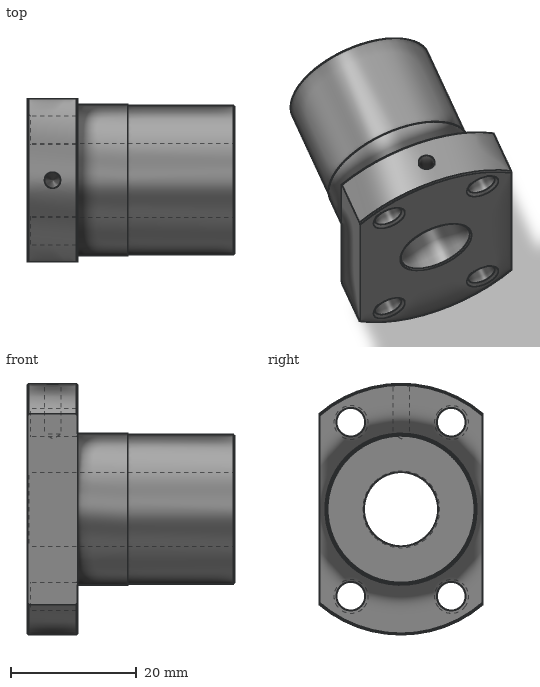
import cadquery as cq
import math

flange_diameter = 40.0
flange_width = 26.0
flange_thickness = 8.0
flange_chamfer = 0.25

total_length = 33.0
collar_diameter = 24.15
collar_length = 8.0
barrel_diameter = 23.85
barrel_chamfer = 0.25

bore_diameter = 11.75
bore_chamfer = 0.25

bolt_circle_diameter = 32.0
bolt_angles = (30, 150, 210, 330)
bolt_hole_diameter = 4.5
bolt_hole_chamfer = 0.45

oil_hole_diameter = 2.55
oil_hole_depth = 8.0
drill_point_angle = 118.0


def cylinder(diameter, length, start_x=0.0):
    """Cylinder along +X, centred on the part axis."""
    return cq.Workplane("YZ", origin=(start_x, 0, 0)).circle(diameter / 2).extrude(length)


def chamfered_hole(diameter, length, chamfer):
    """Hole cutter along +X with a 45 degree chamfer at its X = 0 mouth."""
    radius = diameter / 2
    profile = [
        (0, 0),
        (0, radius + chamfer),
        (chamfer, radius),
        (length, radius),
        (length, 0),
    ]
    return cq.Workplane("XY").polyline(profile).close().revolve(360, (0, 0, 0), (1, 0, 0))


def make_flange():
    disc = cylinder(flange_diameter, flange_thickness).edges().chamfer(flange_chamfer)
    flats = cq.Workplane("XY").box(2 * flange_thickness, flange_width, flange_diameter)
    return disc.intersect(flats)


def make_barrel():
    collar = cylinder(collar_diameter, collar_length, flange_thickness)
    barrel_start = flange_thickness + collar_length
    barrel = cylinder(barrel_diameter, total_length - barrel_start, barrel_start)
    return collar.union(barrel.faces(">X").edges().chamfer(barrel_chamfer))


def make_bolt_holes():
    hole = chamfered_hole(bolt_hole_diameter, flange_thickness, bolt_hole_chamfer)
    holes = cq.Workplane("XY")
    for angle in bolt_angles:
        turn = math.radians(angle)
        y = bolt_circle_diameter / 2 * math.sin(turn)
        z = bolt_circle_diameter / 2 * math.cos(turn)
        holes = holes.add(hole.translate((0, y, z)))
    return holes.combine()


def make_oil_hole():
    radius = oil_hole_diameter / 2
    top = flange_diameter / 2
    floor = top - oil_hole_depth
    tip = floor - radius / math.tan(math.radians(drill_point_angle / 2))
    profile = [(0, top), (radius, top), (radius, floor), (0, tip)]
    drill = cq.Workplane("XZ").polyline(profile).close().revolve(360, (0, 0, 0), (0, 1, 0))
    return drill.translate((flange_thickness / 2, 0, 0))


result = make_flange().union(make_barrel())
result = result.cut(chamfered_hole(bore_diameter, total_length, bore_chamfer))
result = result.cut(make_bolt_holes())
result = result.cut(make_oil_hole())